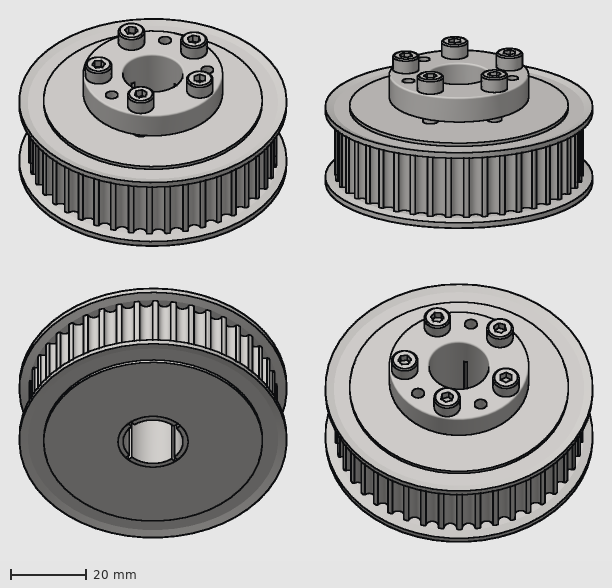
import cadquery as cq
import math

PULLEY_HEIGHT = 22.1
CORE_RADIUS = 29.05
TOOTH_COUNT = 42
FIRST_GROOVE_ANGLE = -90
TOOTH_TIP_RADIUS = 32.95
GROOVE_DEPTH = 2.05
GROOVE_RADIUS = 1.7
TOOTH_CORNER_RADIUS = 0.4

FLANGE_RADIUS = 35.5
FLANGE_THICKNESS = 1.55
FLANGE_BEND_RADIUS = 33.2
FLANGE_FLARE = 0.6
FLANGE_INSET = 0.9
TEETH_BOTTOM = FLANGE_INSET + FLANGE_THICKNESS
TEETH_TOP = PULLEY_HEIGHT - TEETH_BOTTOM

COLLAR_GAP = 1.9
COLLAR_RADIUS = 18.5
COLLAR_HEIGHT = 7.0
COLLAR_ROUNDING = 0.5
COLLAR_BOTTOM = PULLEY_HEIGHT + COLLAR_GAP
COLLAR_TOP = COLLAR_BOTTOM + COLLAR_HEIGHT
SLEEVE_RADIUS = 9.3
NECK_FLARE = 0.35
BORE_RADIUS = 7.95
BORE_ROUNDING = 0.5
SLOT_WIDTH = 1.0
SLOT_RISE = 0.9
SLOT_TOP = PULLEY_HEIGHT + SLOT_RISE
SLOT_COUNT = 4

BOLT_CIRCLE_RADIUS = 14.5
SCREW_COUNT = 5
FIRST_SCREW_ANGLE = 90
SCREW_ANGLES = [FIRST_SCREW_ANGLE + i * 360 / SCREW_COUNT for i in range(SCREW_COUNT)]
HALF_SCREW_STEP = 180 / SCREW_COUNT
JACKING_HOLE_ANGLES = [
    FIRST_SCREW_ANGLE - HALF_SCREW_STEP,
    FIRST_SCREW_ANGLE + HALF_SCREW_STEP,
    FIRST_SCREW_ANGLE + 180,
]
JACKING_HOLE_RADIUS = 1.6
SHANK_RADIUS = 2.0
SHANK_LENGTH = 16.0
HEAD_RADIUS = 3.5
HEAD_HEIGHT = 4.0
HEAD_CHAMFER = 0.4
SOCKET_ACROSS_FLATS = 3.0
SOCKET_CORNER_RADIUS = SOCKET_ACROSS_FLATS / math.sqrt(3)
SOCKET_DEPTH = 2.0
SOCKET_CONE_DEPTH = 0.9


def cylinder(radius, bottom, top):
    return cq.Workplane("XY").workplane(offset=bottom).circle(radius).extrude(top - bottom)


def around_axis(shape, angle):
    return shape.rotate((0, 0, 0), (0, 0, 1), angle)


def at_bolt_circle(shape, angle):
    """Move a shape from the axis to the bolt circle, turning it with the angle."""
    return around_axis(shape.translate((BOLT_CIRCLE_RADIUS, 0, 0)), angle)


def make_belt_groove():
    """Cutter for one round-bottomed belt groove with rounded tooth corners."""
    half_mouth = GROOVE_RADIUS + TOOTH_CORNER_RADIUS
    mouth_x = math.sqrt(TOOTH_TIP_RADIUS**2 - half_mouth**2)
    wall_x = mouth_x - TOOTH_CORNER_RADIUS
    floor_x = TOOTH_TIP_RADIUS - GROOVE_DEPTH
    outside_x = TOOTH_TIP_RADIUS + TOOTH_CORNER_RADIUS
    diagonal = TOOTH_CORNER_RADIUS * math.sqrt(0.5)
    corner_x = wall_x + diagonal
    corner_y = half_mouth - diagonal
    return (
        cq.Workplane("XY")
        .workplane(offset=TEETH_BOTTOM)
        .moveTo(outside_x, half_mouth)
        .lineTo(mouth_x, half_mouth)
        .threePointArc((corner_x, corner_y), (wall_x, GROOVE_RADIUS))
        .lineTo(floor_x + GROOVE_RADIUS, GROOVE_RADIUS)
        .threePointArc((floor_x, 0), (floor_x + GROOVE_RADIUS, -GROOVE_RADIUS))
        .lineTo(wall_x, -GROOVE_RADIUS)
        .threePointArc((corner_x, -corner_y), (mouth_x, -half_mouth))
        .lineTo(outside_x, -half_mouth)
        .close()
        .extrude(TEETH_TOP - TEETH_BOTTOM)
    )


def make_pulley(screws):
    toothed_band = cylinder(TOOTH_TIP_RADIUS, TEETH_BOTTOM, TEETH_TOP)
    groove = make_belt_groove()
    pitch_angle = 360 / TOOTH_COUNT
    grooves = [
        around_axis(groove, FIRST_GROOVE_ANGLE + i * pitch_angle).val()
        for i in range(TOOTH_COUNT)
    ]
    toothed_band = cq.Workplane(toothed_band.val().cut(*grooves))
    pulley = cylinder(CORE_RADIUS, 0, PULLEY_HEIGHT).union(toothed_band)
    pulley = pulley.cut(cylinder(SLEEVE_RADIUS, 0, PULLEY_HEIGHT))
    for screw in screws:
        pulley = pulley.cut(screw)
    return pulley


def make_lower_flange():
    """Ring seated on the pulley core, its rim bent away from the teeth."""
    return (
        cq.Workplane("XZ")
        .moveTo(CORE_RADIUS, FLANGE_INSET)
        .lineTo(FLANGE_BEND_RADIUS, FLANGE_INSET)
        .lineTo(FLANGE_RADIUS, FLANGE_INSET - FLANGE_FLARE)
        .lineTo(FLANGE_RADIUS, TEETH_BOTTOM - FLANGE_FLARE)
        .lineTo(FLANGE_BEND_RADIUS, TEETH_BOTTOM)
        .lineTo(CORE_RADIUS, TEETH_BOTTOM)
        .close()
        .revolve(360, (0, 0, 0), (0, 1, 0))
    )


def make_upper_flange():
    return make_lower_flange().mirror("XY", (0, 0, PULLEY_HEIGHT / 2))


def make_sleeve():
    """Sleeve down to the lower pulley face, flaring out where it meets the collar."""
    return (
        cq.Workplane("XZ")
        .lineTo(SLEEVE_RADIUS, 0)
        .lineTo(SLEEVE_RADIUS, COLLAR_BOTTOM - NECK_FLARE)
        .lineTo(SLEEVE_RADIUS + NECK_FLARE, COLLAR_BOTTOM)
        .lineTo(0, COLLAR_BOTTOM)
        .close()
        .revolve(360, (0, 0, 0), (0, 1, 0))
    )


def make_hub(screws):
    collar = cylinder(COLLAR_RADIUS, COLLAR_BOTTOM, COLLAR_TOP).edges().fillet(COLLAR_ROUNDING)
    sleeve = make_sleeve()
    hub = collar.union(sleeve).cut(cylinder(BORE_RADIUS, 0, COLLAR_TOP))
    bore_edge = cq.selectors.RadiusNthSelector(0)
    hub = hub.faces(">Z").edges(bore_edge).fillet(BORE_ROUNDING)
    slot_length = SLEEVE_RADIUS + NECK_FLARE
    slot = cq.Workplane("XY").box(slot_length, SLOT_WIDTH, SLOT_TOP, centered=(False, True, False))
    for i in range(SLOT_COUNT):
        hub = hub.cut(around_axis(slot, i * 360 / SLOT_COUNT))
    jacking_hole = cylinder(JACKING_HOLE_RADIUS, COLLAR_BOTTOM, COLLAR_TOP)
    for angle in JACKING_HOLE_ANGLES:
        hub = hub.cut(at_bolt_circle(jacking_hole, angle))
    for screw in screws:
        hub = hub.cut(screw)
    return hub


def make_socket():
    """Hexagonal socket, a corner pointing along +X, ending in a shallow cone."""
    head_top = COLLAR_TOP + HEAD_HEIGHT
    floor = head_top - SOCKET_DEPTH
    tip = floor - SOCKET_CONE_DEPTH
    hexagon = (
        cq.Workplane("XY").workplane(offset=tip)
        .polygon(6, 2 * SOCKET_CORNER_RADIUS).extrude(head_top - tip)
    )
    drill = (
        cq.Workplane("XZ")
        .moveTo(0, tip)
        .lineTo(SOCKET_CORNER_RADIUS, floor)
        .lineTo(SOCKET_CORNER_RADIUS, head_top)
        .lineTo(0, head_top)
        .close()
        .revolve(360, (0, 0, 0), (0, 1, 0))
    )
    return hexagon.intersect(drill)


def make_screw(angle):
    head = cylinder(HEAD_RADIUS, COLLAR_TOP, COLLAR_TOP + HEAD_HEIGHT)
    head = head.faces(">Z").edges().chamfer(HEAD_CHAMFER)
    shank = cylinder(SHANK_RADIUS, COLLAR_TOP - SHANK_LENGTH, COLLAR_TOP)
    return at_bolt_circle(head.union(shank).cut(make_socket()), angle)


screws = [make_screw(angle) for angle in SCREW_ANGLES]
pulley = make_pulley(screws)
hub = make_hub(screws)
lower_flange = make_lower_flange()
upper_flange = make_upper_flange()

result = cq.Compound.makeCompound([
    pulley.val(),
    lower_flange.val(),
    upper_flange.val(),
    hub.val(),
    *[screw.val() for screw in screws],
])